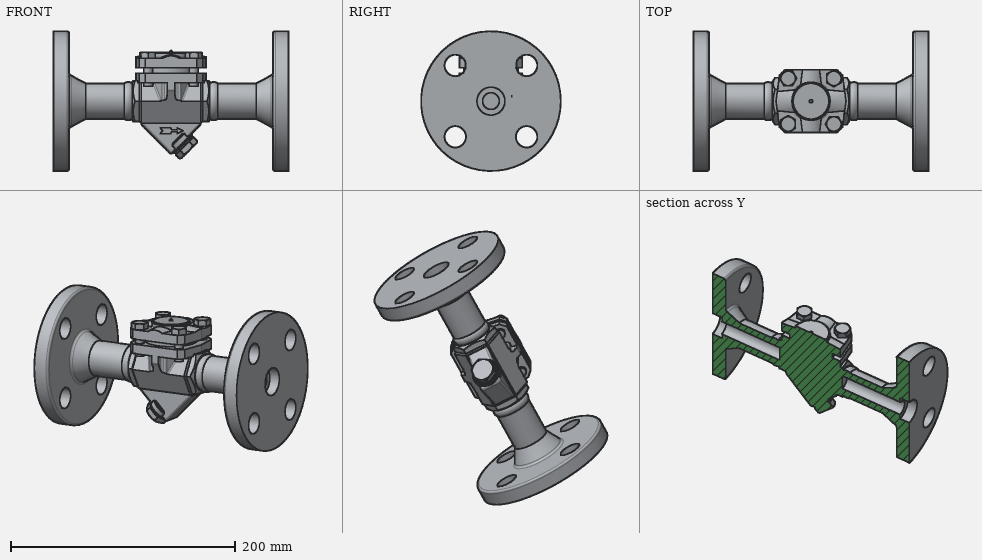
import cadquery as cq
import math


overall_length = 210.0
run_end = overall_length / 2
flange_radius = 125.0 / 2
flange_thickness = 14.0
flange_edge_fillet = 2.0
flange_back = run_end - flange_thickness
hub_foot = 2.0
hub_foot_radius = 2.7
hub_radius = 45.8 / 2
hub_end = 76.0
pipe_radius = 32.0 / 2
weld_outer = 41.8
weld_inner = 34.6
weld_radius = 17.2

flange_hole_diameter = 19.0
flange_bolt_circle = 90.0
socket_diameter = 25.0
socket_depth = 9.9
bore_diameter = 15.0
bore_depth = 71.5

end_apothem = 18.3
end_length = 69.3
end_chamfer_length = 2.5
end_face_radius = 16.8
mid_apothem = 19.5
mid_half_length = 26.7
mid_ramp = 1.5
hex_corner = 1 / math.cos(math.pi / 6)
hex_slope = math.tan(math.pi / 6)
mid_corner_radius = mid_apothem * hex_corner

plate_half_width = 28.1
plate_corner_chamfer = 5.0
plate_half_length = 31.3
seat_bottom = 16.4
seat_top = 25.0
cover_bottom = 29.6
cover_top = 38.2
cover_root = cover_bottom + 2
gasket_radius = 22.9

cap_radius = 34.0 / 2
cap_top = 43.7
cap_edge = 1.0
cap_foot = 1.3
nub_radius = 1.5
nub_height = 1.7
bolt_offset = 20.4
bolt_diameter = 8.0
bolt_end = 13.2
bolt_flats = 13.0
bolt_head_chamfer = 0.6
bolt_head_top = 43.7

hump_start = 12.5
hump_end = 32.5
side_hump = {"inner": (9.5, 3.4), "outer": (7.1, 1.9)}
end_hump = {"inner": (10.3, 3.4), "outer": (8.5, 1.3)}

rib_half_width = 3.5
gusset_nose_half_width = 8.6
gusset_nose_y = 23.0
gusset_root_half_width = 16.0
gusset_root_y = 12.5
rib_fillet = 2.3
nose_fillet = 1.0
gusset_fillet = 1.5
rib_end_fillet = 2.0

leg_half_side = 33.5
leg_half_thickness = 9.9
leg_edge_fillet = 1.7
plug_offset = 19.7
boss_diameter = 25.0
boss_start = 27.7
boss_end = 34.9
boss_edge = 1.0
plug_neck_diameter = 21.0
plug_head_start = 36.8
plug_head_end = 42.6
plug_flats = 19.5
plug_head_chamfer = 0.8

arrow_height = 0.6
arrow_tail = -9.7
arrow_notch = 2.0
arrow_wide_end = -0.5
arrow_narrow_start = 0.6
arrow_barb = 5.5
arrow_tip = 11.0
arrow_z = -26.5
arrow_half_width = 2.5
arrow_shaft_half_width = 1.0


def both_ends(half):
    """Join a shape on the +X side with its mirror image."""
    return half.union(half.mirror("YZ"))


def both_sides(half):
    """Join a shape on the -Y side with its mirror image."""
    return half.union(half.mirror("XZ"))


def hexagon(x, apothem):
    """Hexagon in a plane square to X, with corners on the Y axis."""
    return cq.Workplane("YZ", origin=(x, 0, 0)).polygon(6, 2 * apothem * hex_corner)


def plate(bottom, top):
    """Cover outline: straight sides, 45 degree corners and slightly pointed ends."""
    corner = plate_half_width - plate_corner_chamfer
    quarter = [
        (corner, plate_half_width),
        (plate_half_width, corner),
        (plate_half_length, 0),
    ]
    right = quarter + [(x, -y) for x, y in reversed(quarter[:2])]
    outline = right + [(-x, -y) for x, y in right]
    return cq.Workplane("XY", origin=(0, 0, bottom)).polyline(outline).close().extrude(top - bottom)


def pipe_run():
    """One turned flange, hub, pipe and weld on each end."""
    half = (
        cq.Workplane("XY")
        .moveTo(0, 0)
        .lineTo(run_end, 0)
        .lineTo(run_end, flange_radius)
        .lineTo(flange_back + flange_edge_fillet, flange_radius)
        .radiusArc((flange_back, flange_radius - flange_edge_fillet), -flange_edge_fillet)
        .lineTo(flange_back, hub_radius + hub_foot)
        .radiusArc((flange_back - hub_foot, hub_radius), hub_foot_radius)
        .lineTo(hub_end, pipe_radius)
        .lineTo(weld_outer, pipe_radius)
        .threePointArc(((weld_outer + weld_inner) / 2, weld_radius), (weld_inner, pipe_radius))
        .lineTo(0, pipe_radius)
        .close()
        .revolve(360, (0, 0, 0), (1, 0, 0))
    )
    return both_ends(half)


def hex_body():
    """Hexagon bar with turned end chamfers and a larger middle portion."""
    half_length = end_length / 2
    corner = end_apothem * hex_corner
    bar = hexagon(-half_length, end_apothem).extrude(end_length)
    turned = (
        cq.Workplane("XY")
        .moveTo(0, 0)
        .lineTo(half_length, 0)
        .lineTo(half_length, end_face_radius)
        .lineTo(half_length - end_chamfer_length, corner)
        .lineTo(0, corner)
        .close()
        .revolve(360, (0, 0, 0), (1, 0, 0))
    )
    bar = bar.intersect(both_ends(turned))
    middle = hexagon(-mid_half_length, mid_apothem).extrude(2 * mid_half_length)
    ramp = (
        hexagon(mid_half_length, mid_apothem)
        .workplane(offset=mid_ramp)
        .polygon(6, 2 * corner)
        .loft()
    )
    return bar.union(middle).union(both_ends(ramp))


def ribs():
    """Tapered gussets and narrow ribs that run down into the lower body faces."""
    right_edge = [
        (rib_half_width, -plate_half_width),
        (rib_half_width, -gusset_nose_y),
        (gusset_nose_half_width, -gusset_nose_y),
        (gusset_root_half_width, -gusset_root_y),
        (gusset_root_half_width, 0),
    ]
    outline = right_edge + [(-x, y) for x, y in reversed(right_edge)]
    block = cq.Workplane("XY").polyline(outline).close().extrude(seat_top)
    for side in (-1, 1):
        inner_corner = (side * rib_half_width, -gusset_nose_y, seat_top / 2)
        block = block.edges(cq.NearestToPointSelector(inner_corner)).fillet(rib_fillet)
        nose_corner = (side * gusset_nose_half_width, -gusset_nose_y, seat_top / 2)
        block = block.edges(cq.NearestToPointSelector(nose_corner)).fillet(nose_fillet)
    base = -seat_top
    above_lower_faces = (
        cq.Workplane("YZ")
        .moveTo(0, base)
        .lineTo(-mid_corner_radius - base * hex_slope, base)
        .lineTo(-mid_corner_radius - seat_top * hex_slope, seat_top)
        .lineTo(0, seat_top)
        .close()
        .extrude(gusset_root_half_width, both=True)
    )
    block = block.intersect(above_lower_faces)
    rib_end_z = (plate_half_width - mid_corner_radius) / hex_slope
    rib_end = cq.NearestToPointSelector((0, -plate_half_width, rib_end_z))
    return both_sides(block.edges(rib_end).fillet(rib_end_fillet))


def hump(inner, outer):
    """Rounded ridge on the cover that drops and narrows away from the cap, along +X."""
    def section(work, half_width, rise):
        return (
            work.moveTo(-half_width, cover_root)
            .lineTo(-half_width, cover_top)
            .threePointArc((0, cover_top + rise), (half_width, cover_top))
            .lineTo(half_width, cover_root)
            .close()
        )

    start = section(cq.Workplane("YZ", origin=(hump_start, 0, 0)), *inner)
    return section(start.workplane(offset=hump_end - hump_start), *outer).loft()


def cover():
    """Cover plate with four humps, a round cap and its centre nub."""
    humps = both_ends(hump(**end_hump))
    across = hump(**side_hump).rotate((0, 0, 0), (0, 0, 1), 90)
    humps = humps.union(both_sides(across)).intersect(plate(cover_bottom, cap_top))
    cap = (
        cq.Workplane("XZ")
        .moveTo(0, cover_root)
        .lineTo(cap_radius + cap_foot, cover_root)
        .lineTo(cap_radius + cap_foot, cover_top)
        .radiusArc((cap_radius, cover_top + cap_foot), cap_foot)
        .lineTo(cap_radius, cap_top - cap_edge)
        .lineTo(cap_radius - cap_edge, cap_top)
        .lineTo(nub_radius, cap_top)
        .lineTo(0, cap_top + nub_height)
        .close()
        .revolve(360, (0, 0, 0), (0, 1, 0))
    )
    return plate(cover_bottom, cover_top).union(humps).union(cap)


def hex_head(flats, height, chamfer):
    """Hexagon head on the XY plane with its top corners turned off."""
    corner_radius = flats / 2 * hex_corner
    cone = cq.Workplane("XY").circle(corner_radius).extrude(height)
    cone = cone.faces(">Z").chamfer(chamfer, corner_radius - flats / 2)
    return cq.Workplane("XY").polygon(6, 2 * corner_radius).extrude(height).intersect(cone)


def cover_bolts():
    bolts = cq.Workplane("XY")
    for x_side in (-1, 1):
        for y_side in (-1, 1):
            turn = 30 if x_side == y_side else 0
            head = hex_head(bolt_flats, bolt_head_top - cover_top, bolt_head_chamfer)
            head = head.rotate((0, 0, 0), (0, 0, 1), turn).translate((0, 0, cover_top))
            shank = cq.Workplane("XY", origin=(0, 0, bolt_end))
            shank = shank.circle(bolt_diameter / 2).extrude(cover_top - bolt_end)
            place = (x_side * bolt_offset, y_side * bolt_offset, 0)
            bolts = bolts.union(head.union(shank).translate(place))
    return bolts


def strainer_leg():
    """Pointed leg below the body, with a flow arrow on its front face."""
    leg = cq.Workplane("XZ").rect(2 * leg_half_side, 2 * leg_half_side)
    leg = leg.extrude(leg_half_thickness, both=True).edges().fillet(leg_edge_fillet)
    leg = leg.rotate((0, 0, 0), (0, 1, 0), 45)
    lower_half = cq.Workplane("XY").box(
        2 * mid_half_length, 2 * mid_apothem, 2 * leg_half_side, centered=(True, True, False)
    )
    leg = leg.intersect(lower_half.translate((0, 0, -2 * leg_half_side)))
    upper_edge = [
        (arrow_tail, arrow_half_width),
        (arrow_wide_end, arrow_half_width),
        (arrow_narrow_start, arrow_shaft_half_width),
        (arrow_barb, arrow_shaft_half_width),
        (arrow_barb, arrow_half_width),
    ]
    outline = upper_edge + [(arrow_tip, 0)] + [(x, -z) for x, z in reversed(upper_edge)]
    outline.append((arrow_tail + arrow_notch, 0))
    arrow = cq.Workplane("XZ", origin=(0, 0, arrow_z)).polyline(outline).close()
    return leg.union(arrow.extrude(leg_half_thickness + arrow_height))


def strainer_plug():
    """Round boss and hexagon plug, built on +Z and then turned to point down and toward +X."""
    boss = cq.Workplane("XY", origin=(0, 0, boss_start)).circle(boss_diameter / 2)
    boss = boss.extrude(boss_end - boss_start).edges().chamfer(boss_edge)
    neck = cq.Workplane("XY", origin=(0, 0, boss_start)).circle(plug_neck_diameter / 2)
    neck = neck.extrude(plug_head_start - boss_start)
    head = hex_head(plug_flats, plug_head_end - plug_head_start, plug_head_chamfer)
    head = head.translate((0, 0, plug_head_start))
    plug = boss.union(neck).union(head).translate((plug_offset, 0, 0))
    return plug.rotate((0, 0, 0), (0, 1, 0), 135)


def bores():
    socket = cq.Workplane("YZ", origin=(run_end, 0, 0)).circle(socket_diameter / 2).extrude(-socket_depth)
    bore = cq.Workplane("YZ", origin=(run_end, 0, 0)).circle(bore_diameter / 2).extrude(-bore_depth)
    return both_ends(socket.union(bore))


def flange_holes():
    spacing = flange_bolt_circle / math.sqrt(2)
    return (
        cq.Workplane("YZ", origin=(-run_end, 0, 0))
        .rect(spacing, spacing, forConstruction=True)
        .vertices()
        .circle(flange_hole_diameter / 2)
        .extrude(flange_thickness)
    )


def ribbed_body():
    """Body with ribs, rounded where each gusset flank meets an upper body face."""
    body = hex_body().union(ribs())
    foot_y = (gusset_nose_y + gusset_root_y) / 2
    foot_x = (gusset_nose_half_width + gusset_root_half_width) / 2
    foot_z = (mid_corner_radius - foot_y) / hex_slope
    for x_side in (-1, 1):
        for y_side in (-1, 1):
            foot = cq.NearestToPointSelector((x_side * foot_x, y_side * foot_y, foot_z))
            body = body.edges(foot).fillet(gusset_fillet)
    return body


seat = plate(seat_bottom, seat_top)
gasket = cq.Workplane("XY").circle(gasket_radius).extrude(cover_bottom - seat_top)
gasket = gasket.translate((0, 0, seat_top))

result = pipe_run().union(ribbed_body()).union(seat).union(gasket)
result = result.union(cover()).union(cover_bolts()).union(strainer_leg()).union(strainer_plug())
result = result.cut(bores()).cut(both_ends(flange_holes()))